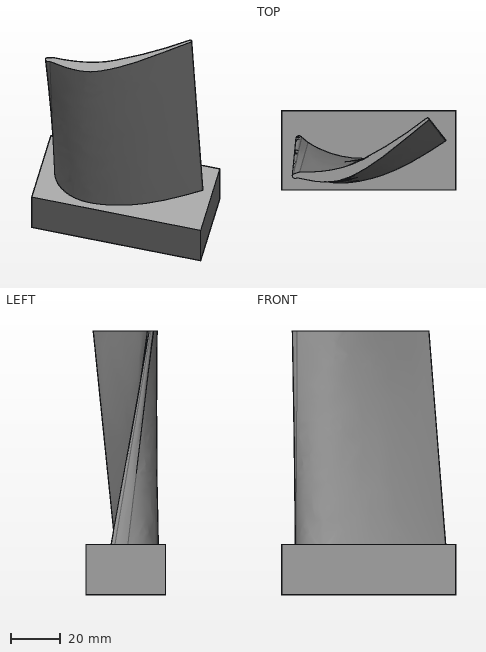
import cadquery as cq

BASE_LENGTH = 70.0
BASE_WIDTH = 32.0
BASE_HEIGHT = 20.2
TOTAL_HEIGHT = 106.0

ROOT_SECTION = {
    "pressure_side": [(30.5, 4.3), (12.7, -1.1), (-4.0, -3.2), (-10.5, -2.4), (-18.3, 0.0), (-24.4, 3.2)],
    "nose_top": (-26.9, 5.3),
    "nose_tip": (-28.1, 5.9),
    "nose_side": (-29.3, 4.3),
    "nose_middle": (-29.6, 2.0),
    "suction_side": [
        (-29.3, -0.8), (-24.5, -8.8), (-17.9, -12.3), (-10.5, -13.1),
        (-3.2, -12.3), (7.0, -9.4), (18.5, -3.9), (30.7, 3.7),
    ],
    "trailing_tip": (31.0, 4.1),
}
TIP_SECTION = {
    "pressure_side": [(23.3, 13.0), (11.7, 4.7), (-1.5, -3.1), (-6.8, -5.6), (-13.2, -7.5), (-27.8, -8.7)],
    "nose_top": (-30.2, -9.4),
    "nose_tip": (-30.5, -9.6),
    "nose_side": (-30.7, -10.1),
    "nose_middle": (-30.6, -10.5),
    "suction_side": [
        (-28.7, -11.0), (-24.4, -12.0), (-17.0, -12.7), (-11.5, -12.1),
        (-6.8, -10.3), (-2.2, -7.8), (7.0, -1.6), (24.2, 12.3),
    ],
    "trailing_tip": (24.1, 12.9),
}


def section_wire(section, height):
    """Closed airfoil outline at the given height."""

    def at_height(points):
        return [cq.Vector(x, y, height) for x, y in points]

    pressure = at_height(section["pressure_side"])
    suction = at_height(section["suction_side"])
    nose_top, nose_tip, nose_side, nose_middle, trailing_tip = at_height(
        section[name] for name in ("nose_top", "nose_tip", "nose_side", "nose_middle", "trailing_tip")
    )
    return cq.Wire.assembleEdges([
        cq.Edge.makeSpline(pressure),
        cq.Edge.makeLine(pressure[-1], nose_top),
        cq.Edge.makeThreePointArc(nose_top, nose_tip, nose_side),
        cq.Edge.makeThreePointArc(nose_side, nose_middle, suction[0]),
        cq.Edge.makeSpline(suction),
        cq.Edge.makeThreePointArc(suction[-1], trailing_tip, pressure[0]),
    ])


def make_base():
    return cq.Workplane("XY").box(BASE_LENGTH, BASE_WIDTH, BASE_HEIGHT, centered=(True, True, False))


def make_blade():
    """Twisted, tapering blade ruled straight from root to tip."""
    root = section_wire(ROOT_SECTION, BASE_HEIGHT)
    tip = section_wire(TIP_SECTION, TOTAL_HEIGHT)
    return cq.Workplane(cq.Solid.makeLoft([root, tip], True))


result = make_base().union(make_blade())